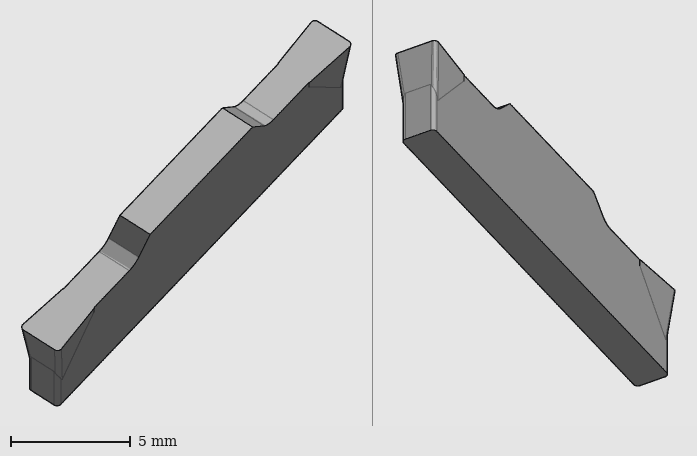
import cadquery as cq
import math

length = 20.05
height = 5.51
shelf_height = 4.47
body_width = 1.6
body_end_height = 2.43
rake_angle = 7.0
corner_radius = 0.2

ridge_length = 6.98
ramp_angle = math.radians(45)
ramp_radius = 0.9

head_width = 2.05
head_length = 2.7
head_bottom = 0.8
flank_taper_back = 0.08
flank_taper_down = 0.07

rake_slope = math.tan(math.radians(rake_angle))
body_length = length - 2 * rake_slope * (shelf_height - body_end_height)

flare_angle = math.atan(flank_taper_back)
rounding_setback = corner_radius / math.tan((math.pi / 2 - flare_angle) / 2)
sharp_head_width = head_width + 2 * flank_taper_back * rounding_setback


def make_body():
    """Straight bar with rounded vertical corners and a ridge on top."""
    bar = (
        cq.Workplane("XY")
        .box(body_width, body_length, shelf_height, centered=(True, True, False))
        .edges("|Z")
        .fillet(corner_radius)
    )
    ramp_rise = height - shelf_height
    ridge_end = ridge_length / 2
    ramp_foot = ridge_end + ramp_rise / math.tan(ramp_angle)
    tangent = ramp_radius * math.tan(ramp_angle / 2)
    shelf_end = ramp_foot + tangent
    ramp_y = ramp_foot - tangent * math.cos(ramp_angle)
    ramp_z = shelf_height + tangent * math.sin(ramp_angle)
    arc_y = shelf_end - ramp_radius * math.sin(ramp_angle / 2)
    arc_z = shelf_height + ramp_radius * (1 - math.cos(ramp_angle / 2))
    ridge = (
        cq.Workplane("YZ")
        .moveTo(-shelf_end, shelf_height)
        .threePointArc((-arc_y, arc_z), (-ramp_y, ramp_z))
        .lineTo(-ridge_end, height)
        .lineTo(ridge_end, height)
        .lineTo(ramp_y, ramp_z)
        .threePointArc((arc_y, arc_z), (shelf_end, shelf_height))
        .lineTo(shelf_end, shelf_height / 2)
        .lineTo(-shelf_end, shelf_height / 2)
        .close()
        .extrude(body_width / 2, both=True)
    )
    return bar.union(ridge)


def head_section(z):
    """Horizontal trapezoid through the +Y head at height z."""
    depth = shelf_height - z
    back = length / 2 - head_length
    front = length / 2 - rake_slope * depth
    edge_half = sharp_head_width / 2 - flank_taper_down * depth
    front_half = edge_half - flank_taper_back * (length / 2 - front)
    back_half = edge_half - flank_taper_back * head_length
    corners = [(-back_half, back), (-front_half, front), (front_half, front), (back_half, back)]
    return cq.Wire.makePolygon([cq.Vector(x, y, z) for x, y in corners], close=True)


def make_head():
    """Head tapering backward and downward, with rounded front corners."""
    sections = [head_section(head_bottom), head_section(shelf_height)]
    head = cq.Workplane(obj=cq.Solid.makeLoft(sections, True))
    front_corners = head.faces(">Y").edges("not #Z")
    return front_corners.fillet(corner_radius)


head = make_head()
result = make_body().union(head).union(head.mirror("XZ")).clean()